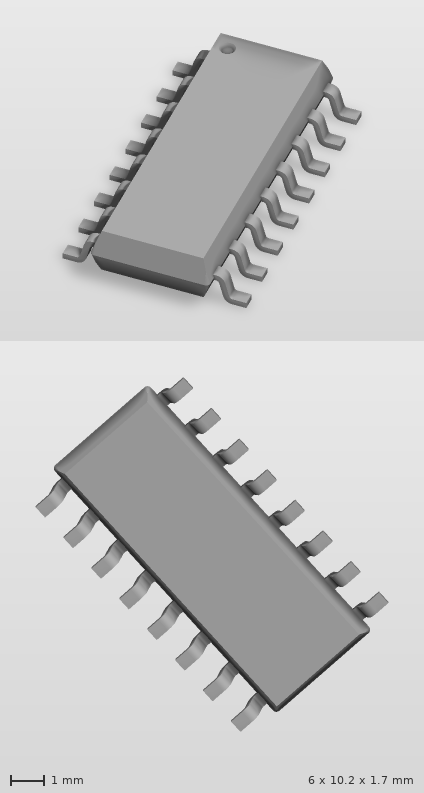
import cadquery as cq
import math

BODY_LENGTH = 10.2
BODY_WIDTH = 3.9
BODY_TOP = 1.7
BODY_BOTTOM = 0.13
PARTING_HEIGHT = 0.9
TAPER_SLOPE = 0.36
CORNER_RADIUS = 0.14

LEADS_PER_SIDE = 8
LEAD_ROW_LENGTH = 8.89
LEAD_PITCH = LEAD_ROW_LENGTH / (LEADS_PER_SIDE - 1)
LEAD_SPAN = 6.0
LEAD_WIDTH = 0.43
LEAD_THICKNESS = 0.2
FOOT_LENGTH = 0.46
BEND_INNER_RADIUS = 0.1
LEG_ANGLE = math.radians(75)
LEAD_EMBED = 0.31

MARK_X = -1.2
MARK_Y = 4.24
MARK_TOP_RADIUS = 0.25
MARK_FLOOR_RADIUS = 0.16
MARK_DEPTH = 0.1


def body_half(height):
    """Half body standing on the XY plane, with conical corners that sharpen upward."""
    taper_angle = math.degrees(math.atan(TAPER_SLOPE))
    half = cq.Workplane("XY").rect(BODY_WIDTH, BODY_LENGTH).extrude(height, taper=taper_angle)

    cone_height = CORNER_RADIUS / TAPER_SLOPE
    cone = cq.Workplane(cq.Solid.makeCone(CORNER_RADIUS, 0, cone_height))
    for x_sign in (-1, 1):
        for y_sign in (-1, 1):
            waste = (
                cq.Workplane("XY")
                .rect(x_sign * CORNER_RADIUS, y_sign * CORNER_RADIUS, centered=False)
                .extrude(cone_height)
                .cut(cone)
            )
            axis_x = x_sign * (BODY_WIDTH / 2 - CORNER_RADIUS)
            axis_y = y_sign * (BODY_LENGTH / 2 - CORNER_RADIUS)
            half = half.cut(waste.translate((axis_x, axis_y, 0)))
    return half


def make_body():
    upper = body_half(BODY_TOP - PARTING_HEIGHT)
    lower = body_half(PARTING_HEIGHT - BODY_BOTTOM).mirror("XY")
    return upper.union(lower).translate((0, 0, PARTING_HEIGHT))


def make_lead():
    """Lead on the -X side, centred on Y = 0: a flat strip swept along its bent centre line."""
    radius = BEND_INNER_RADIUS + LEAD_THICKNESS / 2
    foot_z = LEAD_THICKNESS / 2
    tip_x = -LEAD_SPAN / 2
    foot_end_x = tip_x + FOOT_LENGTH

    bend_run = radius * math.sin(LEG_ANGLE)
    bend_rise = radius * (1 - math.cos(LEG_ANGLE))
    middle_run = radius * math.sin(LEG_ANGLE / 2)
    middle_rise = radius * (1 - math.cos(LEG_ANGLE / 2))
    leg_rise = PARTING_HEIGHT - foot_z - 2 * bend_rise
    leg_run = leg_rise / math.tan(LEG_ANGLE)
    shoulder_x = foot_end_x + 2 * bend_run + leg_run

    path = (
        cq.Workplane("XZ")
        .moveTo(tip_x, foot_z)
        .lineTo(foot_end_x, foot_z)
        .threePointArc(
            (foot_end_x + middle_run, foot_z + middle_rise),
            (foot_end_x + bend_run, foot_z + bend_rise),
        )
        .lineTo(shoulder_x - bend_run, PARTING_HEIGHT - bend_rise)
        .threePointArc(
            (shoulder_x - middle_run, PARTING_HEIGHT - middle_rise),
            (shoulder_x, PARTING_HEIGHT),
        )
        .lineTo(-BODY_WIDTH / 2 + LEAD_EMBED, PARTING_HEIGHT)
    )
    return (
        cq.Workplane("YZ", origin=(tip_x, 0, foot_z))
        .rect(LEAD_WIDTH, LEAD_THICKNESS)
        .sweep(path)
    )


def make_pin_mark():
    return (
        cq.Workplane("XY", origin=(MARK_X, MARK_Y, BODY_TOP))
        .circle(MARK_TOP_RADIUS)
        .workplane(offset=-MARK_DEPTH)
        .circle(MARK_FLOOR_RADIUS)
        .loft()
    )


result = make_body().cut(make_pin_mark())

left_lead = make_lead()
right_lead = left_lead.mirror("YZ")
for index in range(LEADS_PER_SIDE):
    lead_y = index * LEAD_PITCH - LEAD_ROW_LENGTH / 2
    result = result.union(left_lead.translate((0, lead_y, 0)))
    result = result.union(right_lead.translate((0, lead_y, 0)))